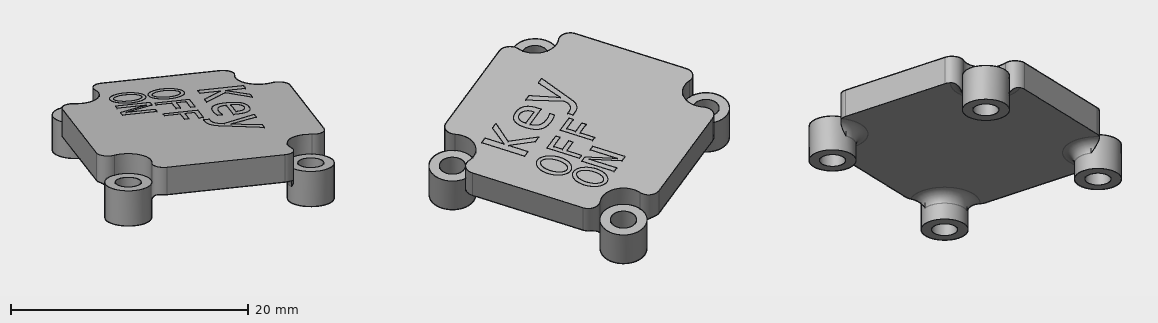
import cadquery as cq
import math

total_height = 5.0
plate_side = 19.97
plate_thickness = 2.5
post_spacing = 16.0
plate_half = plate_side / 2
plate_underside = total_height - plate_thickness

post_offset = post_spacing / 2
post_radius = plate_half - post_offset
post_height = 3.2
bore_diameter = 2.2
post_centers = [(x * post_offset, y * post_offset) for x in (-1, 1) for y in (-1, 1)]

notch_corner_radius = 1.0
post_fillet_radius = 1.0

inlay_depth = 0.5
inlay_floor = total_height - inlay_depth

key_baseline = 2.15
k_left = -6.13
e_left = -2.77
y_left = 0.43
large_cap_height = 4.02
large_x_height = 3.08

off_baseline = -2.12
on_baseline = -5.5
o_center_x = -6.13
f_left = -4.36
f_count = 2
f_pitch = 2.56
n_left = -4.62
small_cap_height = 3.04


def clockwise_quarter(point, turns):
    """Turn a point about the plate's centre by a number of clockwise quarter turns."""
    x, y = point
    for _ in range(turns):
        x, y = y, -x
    return x, y


def plate_prism(bottom, height):
    """Prism with the plate's outline: a square with a round notch about each post."""
    rounding_reach = 2 * math.sqrt(post_radius * notch_corner_radius)
    rounding_rise = post_radius - notch_corner_radius
    touch_ratio = post_radius / (post_radius + notch_corner_radius)
    side_end = post_offset - rounding_reach
    touch_near = post_offset - rounding_reach * touch_ratio
    touch_far = post_offset + rounding_rise * touch_ratio

    outline = cq.Workplane().workplane(offset=bottom).moveTo(-side_end, plate_half)
    for turns in range(4):
        outline = (
            outline.lineTo(*clockwise_quarter((side_end, plate_half), turns))
            .radiusArc(clockwise_quarter((touch_near, touch_far), turns), notch_corner_radius)
            .radiusArc(clockwise_quarter((touch_far, touch_near), turns), -post_radius)
            .radiusArc(clockwise_quarter((plate_half, side_end), turns), notch_corner_radius)
        )
    return outline.close().extrude(height)


def post_fillets():
    """Concave rings that blend the posts into the plate, kept within the plate's outline."""
    ring_bottom = plate_underside - post_fillet_radius
    ring = (
        cq.Workplane("XZ")
        .moveTo(post_radius, ring_bottom)
        .radiusArc((post_radius + post_fillet_radius, plate_underside), post_fillet_radius)
        .lineTo(post_radius, plate_underside)
        .close()
        .revolve(360, (0, 0, 0), (0, 1, 0))
    )
    rings = cq.Workplane().pushPoints(post_centers).eachpoint(lambda place: ring.val().moved(place))
    return rings.intersect(plate_prism(ring_bottom, post_fillet_radius))


def make_housing(inlays):
    """Plate, posts and fillets as one solid, with a recess for every inlaid letter."""
    posts = cq.Workplane().pushPoints(post_centers).circle(post_radius).extrude(post_height)
    bores = cq.Workplane().pushPoints(post_centers).circle(bore_diameter / 2).extrude(post_height)
    plate = plate_prism(plate_underside, plate_thickness)
    housing = plate.union(post_fillets()).union(posts).cut(bores)
    for inlay in inlays:
        housing = housing.cut(inlay)
    return housing


def letter_plane(x, y):
    """Workplane on the floor of the letter recesses, with its origin at x, y."""
    return cq.Workplane(origin=(x, y, inlay_floor))


def make_k(left, baseline):
    """Letter K: a stem and two sloping arms that meet the stem apart from each other."""
    stem = 0.66
    arm_left = 2.09
    arm_right = 2.76
    upper_joint = 2.23
    lower_joint = 1.82
    crotch = (1.12, 2.09)
    return (
        letter_plane(left, baseline)
        .lineTo(stem, 0)
        .lineTo(stem, lower_joint)
        .lineTo(arm_left, 0)
        .lineTo(arm_right, 0)
        .lineTo(*crotch)
        .lineTo(arm_right, large_cap_height)
        .lineTo(arm_left, large_cap_height)
        .lineTo(stem, upper_joint)
        .lineTo(stem, large_cap_height)
        .lineTo(0, large_cap_height)
        .close()
        .extrude(inlay_depth)
    )


def make_e(left, baseline):
    """Letter e: a round bowl with a crossbar, an eye above it and an open mouth below it."""
    overshoot = 0.06
    width = 2.72
    bowl_center = 1.42
    waist = 1.55
    bar_bottom = 1.38
    bar_top = 1.77
    bowl_inner_left = 0.55
    eye_right = 2.11
    eye_top = 2.74
    eye_center = (bowl_inner_left + eye_right) / 2
    tail_right = 2.53
    tail_top = 0.5
    tail_bottom = 0.06
    tail_middle = (2.1, -0.05)
    mouth_bottom = (1.55, 0.4)
    mouth_end_slope = (1, 0.25)
    body = (
        letter_plane(left, baseline)
        .moveTo(tail_right, tail_bottom)
        .threePointArc(tail_middle, (bowl_center, -overshoot))
        .spline([(0, waist)], tangents=[(-1, 0), (0, 1)], includeCurrent=True)
        .spline([(bowl_center, large_x_height + overshoot)], tangents=[(0, 1), (1, 0)], includeCurrent=True)
        .spline([(width, bar_top)], tangents=[(1, 0), (0, -1)], includeCurrent=True)
        .lineTo(width, bar_bottom)
        .lineTo(bowl_inner_left, bar_bottom)
        .spline(
            [mouth_bottom, (tail_right, tail_top)],
            tangents=[(0, -1), mouth_end_slope],
            includeCurrent=True,
        )
        .close()
        .extrude(inlay_depth)
    )
    eye = (
        letter_plane(left, baseline)
        .moveTo(bowl_inner_left, bar_top)
        .lineTo(eye_right, bar_top)
        .threePointArc((eye_center, eye_top), (bowl_inner_left, bar_top))
        .close()
        .extrude(inlay_depth)
    )
    return body.cut(eye)


def make_y(left, baseline):
    """Letter y: two straight strokes, the right one curving into a tail below the baseline."""
    width = 3.1
    stroke = 0.64
    crotch = (1.57, 0.57)
    inner_bend = (1.26, 0.11)
    inner_bend_middle = (0.93, -0.64)
    outer_bend = (1.7, -0.45)
    outer_bend_middle = (1.23, -1.1)
    tail_top = -0.86
    tail_bottom = -1.36
    tail_inner = (0.33, tail_top)
    tail_outer = (0.38, tail_bottom)
    return (
        letter_plane(left, baseline)
        .moveTo(0, large_x_height)
        .lineTo(*inner_bend)
        .threePointArc(inner_bend_middle, tail_inner)
        .lineTo(0, tail_top)
        .lineTo(0, tail_bottom)
        .lineTo(*tail_outer)
        .threePointArc(outer_bend_middle, outer_bend)
        .lineTo(width, large_x_height)
        .lineTo(width - stroke, large_x_height)
        .lineTo(*crotch)
        .lineTo(stroke, large_x_height)
        .close()
        .extrude(inlay_depth)
    )


def make_o(center_x, baseline):
    """Letter O: an upright elliptical ring."""
    outer_half_width = 1.16
    outer_half_height = 1.56
    inner_half_width = 0.73
    inner_half_height = 1.22
    return (
        letter_plane(center_x, baseline + small_cap_height / 2)
        .ellipse(outer_half_width, outer_half_height)
        .ellipse(inner_half_width, inner_half_height)
        .extrude(inlay_depth)
    )


def make_f(left, baseline):
    """Letter F: a stem, a top bar and a shorter middle bar."""
    stem = 0.42
    bar = 0.41
    top_bar_reach = 1.72
    middle_bar_reach = 1.64
    middle_bar_bottom = 1.38
    return (
        letter_plane(left, baseline)
        .lineTo(stem, 0)
        .lineTo(stem, middle_bar_bottom)
        .lineTo(middle_bar_reach, middle_bar_bottom)
        .lineTo(middle_bar_reach, middle_bar_bottom + bar)
        .lineTo(stem, middle_bar_bottom + bar)
        .lineTo(stem, small_cap_height - bar)
        .lineTo(top_bar_reach, small_cap_height - bar)
        .lineTo(top_bar_reach, small_cap_height)
        .lineTo(0, small_cap_height)
        .close()
        .extrude(inlay_depth)
    )


def make_n(left, baseline):
    """Letter N: two stems joined by a diagonal, the same after half a turn."""
    stem = 0.51
    width = 2.14
    diagonal_foot = 0.61
    joint = 0.46
    return (
        letter_plane(left, baseline)
        .lineTo(stem, 0)
        .lineTo(stem, small_cap_height - joint)
        .lineTo(width - diagonal_foot, 0)
        .lineTo(width, 0)
        .lineTo(width, small_cap_height)
        .lineTo(width - stem, small_cap_height)
        .lineTo(width - stem, joint)
        .lineTo(diagonal_foot, small_cap_height)
        .lineTo(0, small_cap_height)
        .close()
        .extrude(inlay_depth)
    )


letter_k = make_k(k_left, key_baseline)
letter_e = make_e(e_left, key_baseline)
letter_y = make_y(y_left, key_baseline)
letters_o = [make_o(o_center_x, baseline) for baseline in (off_baseline, on_baseline)]
letters_f = [make_f(f_left + place * f_pitch, off_baseline) for place in range(f_count)]
letter_n = make_n(n_left, on_baseline)

letters = [letter_k, letter_e, letter_y, *letters_o, *letters_f, letter_n]
housing = make_housing(letters)

result = cq.Compound.makeCompound([housing.val(), *[letter.val() for letter in letters]])